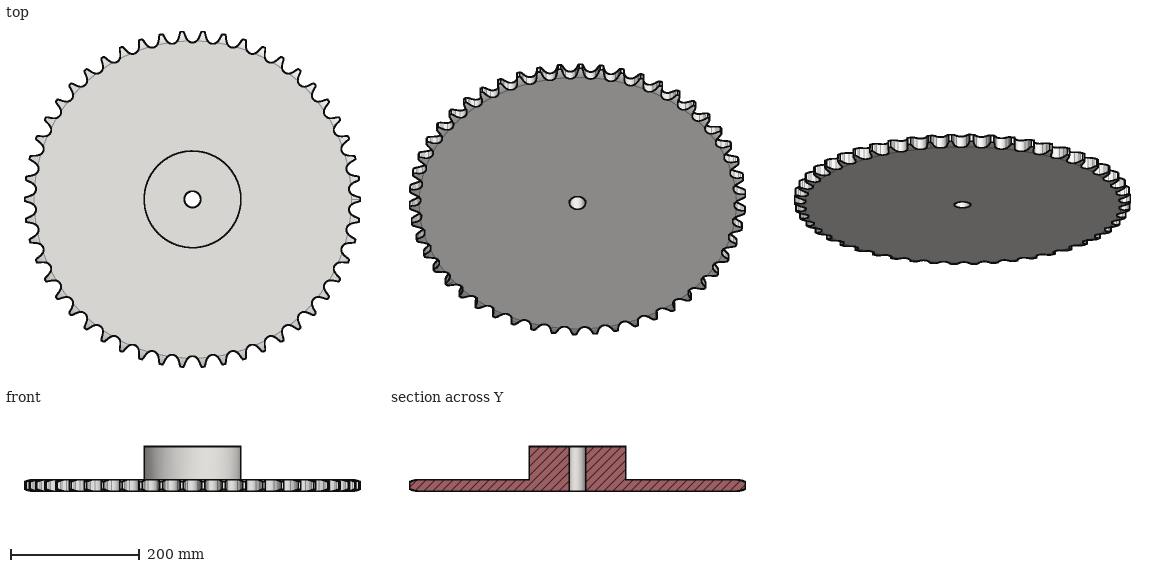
import cadquery as cq
import math


tooth_count = 50
tip_diameter = 521.0
pitch_diameter = 505.5
root_diameter = 486.5
plate_thickness = 18.0
total_height = 70.0
hub_diameter = 150.0
bore_diameter = 25.0

relief_start_radius = 246.0
relief_arc_radius = 32.0

seat_factor = 0.5025
working_centre_factor = 0.8
topping_centre_factor = 1.4
seat_limit_angle = math.radians(35 + 60 / tooth_count)
working_sweep = math.radians(18 - 56 / tooth_count)

tip_radius = tip_diameter / 2
hub_radius = hub_diameter / 2
bore_radius = bore_diameter / 2
pitch_radius = pitch_diameter / 2
seat_radius = (pitch_diameter - root_diameter) / 2
roller_diameter = seat_radius / seat_factor
working_radius = seat_radius + working_centre_factor * roller_diameter
tooth_angle = 2 * math.pi / tooth_count


def turned_blank():
    """Bored hub and disc, with both disc faces curved inwards towards the tooth tips."""
    def relief_depth(radius):
        reach = radius - relief_start_radius
        return relief_arc_radius - math.sqrt(relief_arc_radius**2 - reach**2)

    middle_radius = (relief_start_radius + tip_radius) / 2
    middle_depth = relief_depth(middle_radius)
    tip_depth = relief_depth(tip_radius)
    section = (
        cq.Workplane("XZ")
        .moveTo(bore_radius, 0)
        .lineTo(relief_start_radius, 0)
        .threePointArc((middle_radius, middle_depth), (tip_radius, tip_depth))
        .lineTo(tip_radius, plate_thickness - tip_depth)
        .threePointArc(
            (middle_radius, plate_thickness - middle_depth),
            (relief_start_radius, plate_thickness),
        )
        .lineTo(hub_radius, plate_thickness)
        .lineTo(hub_radius, total_height)
        .lineTo(bore_radius, total_height)
        .close()
    )
    return section.revolve(360, (0, 0, 0), (0, 1, 0))


def toothed_prism():
    """Prism as tall as the part whose outline alternates chain roller seats and teeth."""
    working_end_angle = seat_limit_angle - working_sweep
    working_centre = (
        pitch_radius + working_centre_factor * roller_diameter * math.sin(seat_limit_angle),
        -working_centre_factor * roller_diameter * math.cos(seat_limit_angle),
    )
    topping_centre = (
        pitch_radius - topping_centre_factor * roller_diameter * math.sin(tooth_angle / 2),
        topping_centre_factor * roller_diameter * math.cos(tooth_angle / 2),
    )

    def working_point(angle):
        return (
            working_centre[0] - working_radius * math.sin(angle),
            working_centre[1] + working_radius * math.cos(angle),
        )

    topping_radius = (
        (topping_centre[1] - working_centre[1]) * math.cos(working_end_angle)
        - (topping_centre[0] - working_centre[0]) * math.sin(working_end_angle)
        - working_radius
    )

    def topping_point(angle):
        return (
            topping_centre[0] + topping_radius * math.sin(angle),
            topping_centre[1] - topping_radius * math.cos(angle),
        )

    topping_centre_distance = math.hypot(*topping_centre)
    corner_angle = math.acos(
        (topping_centre_distance**2 + topping_radius**2 - tip_radius**2)
        / (2 * topping_centre_distance * topping_radius)
    )
    tip_angle = math.atan2(topping_centre[1], topping_centre[0]) + corner_angle - math.pi / 2

    def mirrored(point):
        return (point[0], -point[1])

    def turned(point, angle):
        return (
            point[0] * math.cos(angle) - point[1] * math.sin(angle),
            point[0] * math.sin(angle) + point[1] * math.cos(angle),
        )

    seat_bottom = (pitch_radius - seat_radius, 0)
    seat_end = working_point(seat_limit_angle)
    working_middle = working_point(seat_limit_angle - working_sweep / 2)
    working_end = working_point(working_end_angle)
    topping_start = topping_point(working_end_angle)
    topping_middle = topping_point((working_end_angle + tip_angle) / 2)
    tip_corner = topping_point(tip_angle)
    tooth_top = turned((tip_radius, 0), tooth_angle / 2)
    next_tip_corner = turned(mirrored(tip_corner), tooth_angle)

    outline = cq.Workplane("XY").moveTo(*turned(mirrored(tip_corner), tooth_angle / 2))
    for index in range(tooth_count):
        gap_angle = (index + 0.5) * tooth_angle

        def placed(point):
            return turned(point, gap_angle)

        outline = (
            outline
            .threePointArc(placed(mirrored(topping_middle)), placed(mirrored(topping_start)))
            .lineTo(*placed(mirrored(working_end)))
            .threePointArc(placed(mirrored(working_middle)), placed(mirrored(seat_end)))
            .threePointArc(placed(seat_bottom), placed(seat_end))
            .threePointArc(placed(working_middle), placed(working_end))
            .lineTo(*placed(topping_start))
            .threePointArc(placed(topping_middle), placed(tip_corner))
            .threePointArc(placed(tooth_top), placed(next_tip_corner))
        )
    return outline.close().extrude(total_height)


result = turned_blank().intersect(toothed_prism(), clean=False)